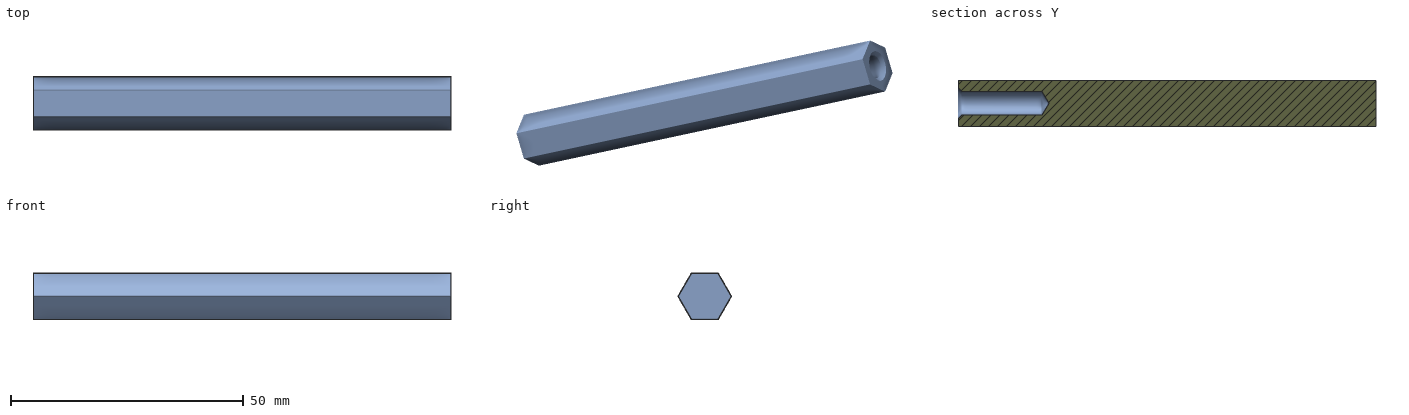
import cadquery as cq
import math

length = 90.0
side_count = 6
across_flats = 10.0
edge_radius = 0.1

hole_diameter = 5.0
countersink_diameter = 6.5
countersink_angle = 90.0
hole_depth = 18.0
drill_point_angle = 118.0


def cone_height(radius_change, included_angle):
    """Axial length over which a cone changes radius by the given amount."""
    return radius_change / math.tan(math.radians(included_angle / 2))


def make_bar():
    """Hexagonal bar with its flats facing up and down and its -X end left sharp."""
    across_corners = across_flats / math.cos(math.pi / side_count)
    bar = cq.Workplane("YZ").polygon(side_count, across_corners).extrude(length)
    return bar.edges("|X or >X").fillet(edge_radius)


def make_hole():
    """Revolved tool for the hole: countersink, straight bore and drill point."""
    hole_radius = hole_diameter / 2
    countersink_radius = countersink_diameter / 2
    countersink_depth = cone_height(countersink_radius - hole_radius, countersink_angle)
    tip_depth = hole_depth + cone_height(hole_radius, drill_point_angle)
    half_section = [
        (0, 0),
        (0, countersink_radius),
        (countersink_depth, hole_radius),
        (hole_depth, hole_radius),
        (tip_depth, 0),
    ]
    return cq.Workplane("XY").polyline(half_section).close().revolve(360, (0, 0, 0), (1, 0, 0))


result = make_bar().cut(make_hole())